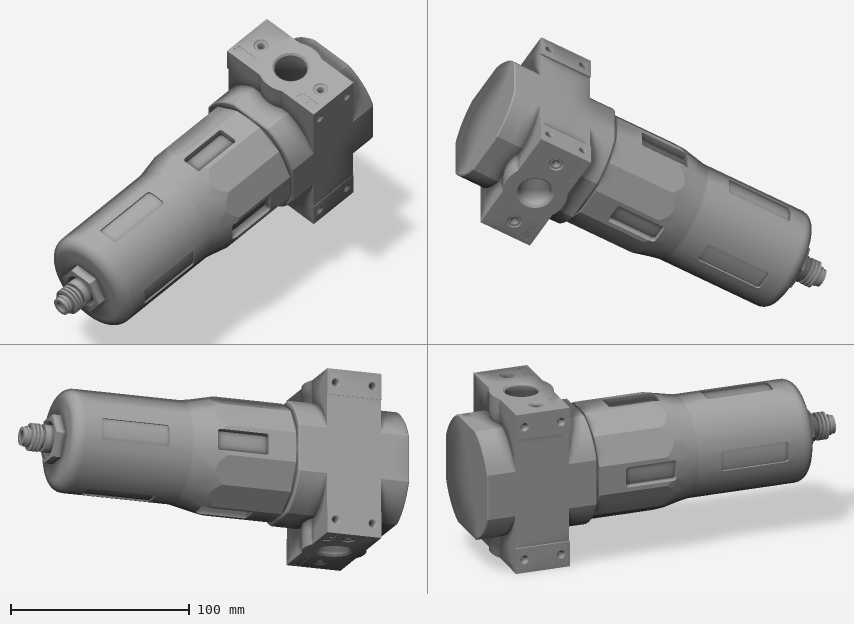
import cadquery as cq
import math


body_size = 65.8
body_round_dia = 71.0
body_chamfer = 0.7
block_depth = 32.2
neck_dia = 62.0
neck_length = 1.5
bore_dia = 18.6
bore_mouth_dia = 20.8

overall_height = 96.0
plate_left = -34.0
plate_right = 33.0
boss_dia = 36.5
side_hole_dia = 4.2
side_hole_mouth_dia = 5.0
side_hole_depth = 4.4
side_hole_pitch = 22.0
side_hole_height = 40.1
label_depth = 0.2
label_top = -8.8
label_bottom = -13.5
label_slant = 1.5
label_corner = 1.0
left_label_start = -32.0
left_label_end = -16.5
right_label_start = 16.7
right_label_end = 30.3
label_bar_x = 24.1
label_bar_width = 0.7
label_bar_height = 2.6

screw_dia = 7.2
screw_mouth_dia = 8.5
screw_spacing = 46.0
screw_recess = 0.7
screw_grip = 8.8
socket_dia = 4.2
socket_mouth_dia = 5.0
socket_depth = 3.3

guard_facets = 12
guard_flats = 64.7
guard_dia = 58.8
guard_end = -165.0
guard_fillet = 6.4
taper_start = -75.0
taper_end = -94.7
window_width = 12.3
window_corner = 1.5
upper_window_start = -50.5
upper_window_end = -81.0
lower_window_start = -108.7
lower_window_end = -148.9

bowl_dia = 56.5
bowl_straight_end = -146.9
bowl_fillet = 6.5

hex_flats = 24.5
hex_end = -170.3
hex_recess_dia = 20.2
hex_recess_depth = 2.2
stem_dia = 15.8
stem_end = -174.0
core_dia = 11.5
rib_dia = 15.8
rib_root_width = 1.5
rib_crest_width = 1.0
rib_pitch = 2.2
rib_count = 3
first_rib_start = -175.8
tip_dia = 10.5
tip_start = -181.7
lip_dia = 11.8
lip_start = -183.0
lip_width = 1.0
drain_end = -186.3
drain_hole_dia = 6.0
drain_mouth_dia = 7.0
drain_hole_depth = 4.4

body_half = body_size / 2
plate_top = overall_height / 2
plate_thickness = plate_top - body_half
guard_start = -body_half - neck_length
bowl_end = bowl_straight_end - bowl_fillet
guard_corner_radius = guard_flats / 2 / math.cos(math.pi / guard_facets)


def section_at(y):
    """Workplane across the bowl axis, facing -Y, with local x along X and local y along Z."""
    return cq.Workplane("XZ", origin=(0, y, 0))


def disc(dia, start, end):
    """Cylinder on the bowl axis between two Y positions."""
    return section_at(start).circle(dia / 2).extrude(start - end)


def cone_disc(start_dia, end_dia, start, end):
    """Truncated cone on the bowl axis, narrowing or widening from one Y position to a lower one."""
    cone = cq.Solid.makeCone(start_dia / 2, end_dia / 2, start - end, pnt=(0, start, 0), dir=(0, -1, 0))
    return cq.Workplane(cone)


def make_rib(start):
    """Hose rib of trapezoidal section, tapered on both flanks."""
    end = start - rib_root_width
    flank = (rib_root_width - rib_crest_width) / 2
    rib = cone_disc(core_dia, rib_dia, start, start - flank)
    rib = rib.union(disc(rib_dia, start - flank, end + flank))
    return rib.union(cone_disc(rib_dia, core_dia, end + flank, end))


def blind_hole(mouth_dia, dia, depth, centre, inward):
    """Cutter for a conical blind hole with a 45 degree mouth; depth is measured below the mouth."""
    mouth = (mouth_dia - dia) / 2
    throat = cq.Vector(*centre) + cq.Vector(*inward) * mouth
    rim = cq.Solid.makeCone(mouth_dia / 2, dia / 2, mouth, pnt=centre, dir=inward)
    tip = cq.Solid.makeCone(dia / 2, 0, depth, pnt=throat, dir=inward)
    return cq.Workplane(rim).union(cq.Workplane(tip))


def bore_cutter():
    """Through bore with a chamfered mouth at both plate faces."""
    mouth = (bore_mouth_dia - bore_dia) / 2
    bore = cq.Workplane("XY", origin=(0, 0, -plate_top)).circle(bore_dia / 2).extrude(overall_height)
    for face in (-1, 1):
        cone = cq.Solid.makeCone(
            bore_mouth_dia / 2, bore_dia / 2, mouth, pnt=(0, 0, face * plate_top), dir=(0, 0, -face)
        )
        bore = bore.union(cq.Workplane(cone))
    return bore


def screw_positions():
    """X position and plate face of each screw."""
    return [(side * screw_spacing / 2, face) for side in (-1, 1) for face in (-1, 1)]


def make_screw(x, face):
    """Headless socket screw, sunk in a plate and driven into the housing (face is 1 on top, -1 below)."""
    outer_end = plate_top - screw_recess
    screw = cq.Workplane("XY").center(x, 0).workplane(offset=body_half - screw_grip)
    screw = screw.circle(screw_dia / 2).extrude(outer_end - body_half + screw_grip)
    socket = blind_hole(socket_mouth_dia, socket_dia, socket_depth, (x, 0, outer_end), (0, 0, -1))
    screw = screw.cut(socket)
    return screw if face > 0 else screw.mirror("XY")


def screw_hole(x, face):
    """Hole for one screw with a chamfered mouth in the plate face."""
    mouth = (screw_mouth_dia - screw_dia) / 2
    hole = cq.Workplane("XY").center(x, 0).workplane(offset=body_half - screw_grip)
    hole = hole.circle(screw_dia / 2).extrude(plate_thickness + screw_grip)
    cone = cq.Solid.makeCone(
        screw_mouth_dia / 2, screw_dia / 2, mouth, pnt=(x, 0, plate_top), dir=(0, 0, -1)
    )
    hole = hole.union(cq.Workplane(cone))
    return hole if face > 0 else hole.mirror("XY")


def make_housing():
    barrel = section_at(body_half).rect(body_size, body_size).extrude(body_size)
    barrel = barrel.intersect(disc(body_round_dia, body_half, -body_half))
    barrel = barrel.faces("<Y or >Y").chamfer(body_chamfer)
    block = cq.Workplane("XY").box(body_size, block_depth, body_size)
    neck = disc(neck_dia, -body_half, guard_start)
    housing = barrel.union(block).union(neck).cut(bore_cutter())
    for x, face in screw_positions():
        housing = housing.cut(screw_hole(x, face))
    return housing


def label_pockets():
    """Two shallow label recesses with slanted inner ends; the right one keeps a small raised bar."""
    floor = cq.Workplane("XY", origin=(0, 0, plate_top - label_depth))
    left = floor.polyline([
        (left_label_start, label_top),
        (left_label_end - label_slant, label_top),
        (left_label_end, label_bottom),
        (left_label_start, label_bottom),
    ]).close().extrude(label_depth)
    left = left.edges("|Z and <X").fillet(label_corner)
    right = floor.polyline([
        (right_label_end, label_top),
        (right_label_start + label_slant, label_top),
        (right_label_start, label_bottom),
        (right_label_end, label_bottom),
    ]).close().extrude(label_depth)
    bar = floor.center(label_bar_x, (label_top + label_bottom) / 2)
    bar = bar.rect(label_bar_width, label_bar_height).extrude(label_depth)
    return left.union(right.cut(bar))


def make_plate(face):
    """Port plate with a round boss about the bore (face is 1 on top, -1 below)."""
    base = cq.Workplane("XY", origin=(0, 0, body_half))
    plate = base.center((plate_left + plate_right) / 2, 0)
    plate = plate.rect(plate_right - plate_left, block_depth).extrude(plate_thickness)
    plate = plate.union(base.circle(boss_dia / 2).extrude(plate_thickness))
    plate = plate.cut(label_pockets())
    for y in (-side_hole_pitch / 2, side_hole_pitch / 2):
        for x, inward in ((plate_left, 1), (plate_right, -1)):
            hole = blind_hole(
                side_hole_mouth_dia, side_hole_dia, side_hole_depth, (x, y, side_hole_height), (inward, 0, 0)
            )
            plate = plate.cut(hole)
    if face < 0:
        plate = plate.mirror("XY")
    plate = plate.cut(bore_cutter())
    for x, screw_face in screw_positions():
        plate = plate.cut(screw_hole(x, screw_face))
    return plate


def make_bowl():
    return disc(bowl_dia, guard_start, bowl_end).faces("<Y").edges().fillet(bowl_fillet)


def window_cutter(start, end):
    """Rounded window through the guard wall on the +Z side."""
    window = cq.Workplane("XY").center(0, (start + end) / 2)
    window = window.rect(window_width, start - end).extrude(guard_flats)
    return window.edges("|Z").fillet(window_corner)


def make_guard(bowl):
    """Faceted guard that tapers to a round cup, with two rings of four windows onto the bowl."""
    facets = section_at(guard_start).polygon(guard_facets, 2 * guard_corner_radius)
    facets = facets.extrude(guard_start - guard_end)
    facets = facets.rotate((0, 0, 0), (0, 1, 0), 180 / guard_facets)
    envelope = cq.Workplane("XY").polyline([
        (0, guard_start),
        (guard_corner_radius, guard_start),
        (guard_corner_radius, taper_start),
        (guard_dia / 2, taper_end),
        (guard_dia / 2, guard_end),
        (0, guard_end),
    ]).close().revolve(360, (0, 0, 0), (0, 1, 0))
    envelope = envelope.faces("<Y").edges().fillet(guard_fillet)
    guard = facets.intersect(envelope).cut(bowl)
    for start, end in (
        (upper_window_start, upper_window_end),
        (lower_window_start, lower_window_end),
    ):
        for angle in range(0, 360, 90):
            guard = guard.cut(window_cutter(start, end).rotate((0, 0, 0), (0, 1, 0), angle))
    return guard


def make_drain():
    """Hexagon with a recessed face, and a ribbed hose stem with a lipped, drilled tip."""
    hexagon = section_at(guard_end).polygon(6, hex_flats / math.cos(math.pi / 6))
    hexagon = hexagon.extrude(guard_end - hex_end)
    drain = hexagon.cut(cone_disc(stem_dia, hex_recess_dia, hex_end + hex_recess_depth, hex_end))
    drain = drain.union(disc(stem_dia, guard_end, stem_end))
    drain = drain.union(disc(core_dia, stem_end, tip_start))
    for i in range(rib_count):
        drain = drain.union(make_rib(first_rib_start - i * rib_pitch))
    drain = drain.union(disc(tip_dia, tip_start, drain_end))
    drain = drain.union(disc(lip_dia, lip_start, lip_start - lip_width))
    drain = drain.cut(disc(drain_hole_dia, drain_end + drain_hole_depth, drain_end))
    mouth = (drain_mouth_dia - drain_hole_dia) / 2
    return drain.cut(cone_disc(drain_hole_dia, drain_mouth_dia, drain_end + mouth, drain_end))


housing = make_housing()
plates = [make_plate(face) for face in (1, -1)]
screws = [make_screw(x, face) for x, face in screw_positions()]
bowl = make_bowl()
guard = make_guard(bowl)
drain = make_drain()

result = cq.Compound.makeCompound([
    housing.val(),
    *[plate.val() for plate in plates],
    *[screw.val() for screw in screws],
    bowl.val(),
    guard.val(),
    drain.val(),
])